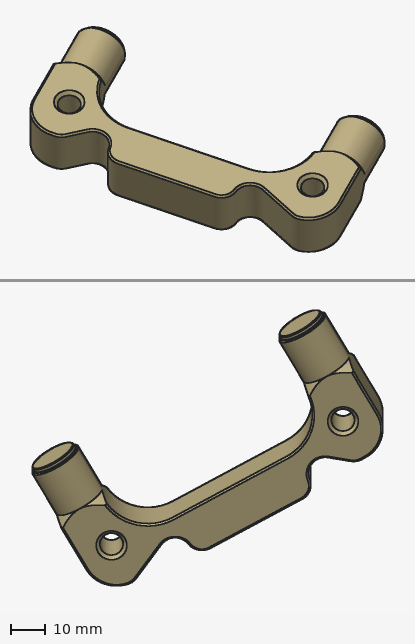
import cadquery as cq
import math

length = 97.0
depth = 45.0
thickness = 15.5
edge_chamfer = 0.6

pin_radius = thickness / 2
pin_flat_width = 3.9
pin_rim_chamfer = 0.4
shoulder_y = 29.3
shoulder_reach = 3.9

nose_radius = 13.8 / 2
nose_length = 1.2
nose_chamfer = 0.3

leg_width = 2 * math.sqrt(pin_radius**2 - (pin_flat_width / 2) ** 2)
leg_outer_x = length / 2
leg_inner_x = leg_outer_x - leg_width
pin_x = leg_outer_x - leg_width / 2

web_depth = 13.6
inner_corner_radius = 14.55

lobe_radius = 10.1
lobe_x = leg_outer_x - lobe_radius
lobe_y = 12.1
left_lobe_flat = 1.2
right_blend_angle = math.radians(-80)

small_radius = 4.85
left_web_corner_x = -16.4
right_web_corner_x = 14.2
web_corner_y = small_radius
notch_y = 3.6

hole_x = lobe_x
hole_y = 15.0
hole_diameter = 6.7
countersink_diameter = 8.8

EAST, NORTH, WEST, SOUTH = (math.radians(degrees) for degrees in (0, 90, 180, 270))
SOUTH_BACK = SOUTH - 2 * math.pi
HALF_TURN = math.pi


def point_on(center, radius, angle):
    return (center[0] + radius * math.cos(angle), center[1] + radius * math.sin(angle))


def arc(path, center, radius, start, end):
    """Continue the path along a circle; it must already stand at the start angle."""
    middle = point_on(center, radius, (start + end) / 2)
    return path.threePointArc(middle, point_on(center, radius, end))


def notch_center(web_corner_x, side):
    """Centre of the notch arc that is tangent to a web corner arc of the same radius."""
    rise = web_corner_y - notch_y
    offset = math.sqrt((2 * small_radius) ** 2 - rise**2)
    return (web_corner_x + side * offset, notch_y)


def line_normal(a, b, turn):
    """Angle of the normal of the line crossing between two small circles centred at a and b.

    A turn of 1 swings the line counterclockwise from the direction a to b, -1 clockwise.
    """
    centre_line = math.atan2(b[1] - a[1], b[0] - a[0])
    swing = math.asin(2 * small_radius / math.dist(a, b))
    return centre_line + turn * swing + NORTH


def body_outline():
    """Plan outline, followed from the left leg's outer end round the front."""
    left_lobe = (-lobe_x, lobe_y)
    right_lobe = (lobe_x, lobe_y)
    left_blend = (left_lobe_flat - lobe_x, lobe_y - lobe_radius + small_radius)
    right_blend = point_on(right_lobe, lobe_radius - small_radius, right_blend_angle)
    left_corner = (left_web_corner_x, web_corner_y)
    right_corner = (right_web_corner_x, web_corner_y)
    left_notch = notch_center(left_web_corner_x, -1)
    right_notch = notch_center(right_web_corner_x, 1)

    left_normal = line_normal(left_blend, left_notch, 1)
    right_normal = line_normal(right_notch, right_blend, -1)

    tilt = math.asin((web_corner_y - notch_y) / (2 * small_radius))

    path = cq.Workplane("XY", origin=(0, 0, -thickness / 2)).moveTo(-leg_outer_x, shoulder_y)
    path = path.lineTo(-leg_outer_x, lobe_y)
    path = arc(path, left_lobe, lobe_radius, WEST, SOUTH)
    path = path.line(left_lobe_flat, 0)
    path = arc(path, left_blend, small_radius, SOUTH, left_normal + HALF_TURN)
    path = path.lineTo(*point_on(left_notch, small_radius, left_normal))
    path = arc(path, left_notch, small_radius, left_normal, tilt)
    path = arc(path, left_corner, small_radius, WEST + tilt, SOUTH)
    path = path.lineTo(right_web_corner_x, 0)
    path = arc(path, right_corner, small_radius, SOUTH_BACK, -tilt)
    path = arc(path, right_notch, small_radius, WEST - tilt, right_normal)
    path = path.lineTo(*point_on(right_blend, small_radius, right_normal - HALF_TURN))
    path = arc(path, right_blend, small_radius, right_normal - HALF_TURN, right_blend_angle)
    path = arc(path, right_lobe, lobe_radius, right_blend_angle, EAST)
    path = path.lineTo(leg_outer_x, shoulder_y)

    corner_x = leg_inner_x - inner_corner_radius
    corner_y = web_depth + inner_corner_radius
    path = path.lineTo(leg_inner_x, shoulder_y).lineTo(leg_inner_x, corner_y)
    path = arc(path, (corner_x, corner_y), inner_corner_radius, EAST, SOUTH_BACK)
    path = path.lineTo(-corner_x, web_depth)
    path = arc(path, (-corner_x, corner_y), inner_corner_radius, SOUTH, WEST)
    return path.lineTo(-leg_inner_x, shoulder_y).close()


def body():
    """Plate with chamfered top and bottom edges, except along the leg ends."""
    plate = body_outline().extrude(thickness)
    margin = edge_chamfer / 2
    leg_ends = cq.selectors.BoxSelector(
        (-length, shoulder_y - margin, -thickness),
        (length, shoulder_y + margin, thickness),
    )
    face_edges = cq.selectors.StringSyntaxSelector(">Z or <Z")
    rims = cq.selectors.SubtractSelector(face_edges, leg_ends)
    return plate.edges(rims).chamfer(edge_chamfer)


def revolve_about_y(profile):
    """Solid turned about the Y axis from (radius, y) points."""
    return cq.Workplane("XY").polyline(profile).close().revolve(360, (0, 0, 0), (0, 1, 0))


def shoulder_cutter(x):
    """Leg-end block around a 45 degree cone; it bevels the leg corners down to the pin."""
    base_y = shoulder_y - shoulder_reach
    base_radius = pin_radius + shoulder_reach
    block = cq.Workplane("XY").box(2 * base_radius, shoulder_reach, 2 * base_radius)
    block = block.translate((0, shoulder_y - shoulder_reach / 2, 0))
    cone = revolve_about_y(
        [
            (0, shoulder_y),
            (pin_radius, shoulder_y),
            (base_radius, base_y),
            (0, base_y),
        ]
    )
    return block.cut(cone).translate((x, 0, 0))


def pin(x):
    """Pin with a chamfered rim, a stepped nose and two side flats."""
    rim_y = depth - nose_length
    profile = [
        (0, shoulder_y),
        (pin_radius, shoulder_y),
        (pin_radius, rim_y - pin_rim_chamfer),
        (pin_radius - pin_rim_chamfer, rim_y),
        (nose_radius, rim_y),
        (nose_radius, depth - nose_chamfer),
        (nose_radius - nose_chamfer, depth),
        (0, depth),
    ]
    bar = revolve_about_y(profile)
    flats = cq.Workplane("XY").box(leg_width, 2 * depth, thickness)
    return bar.intersect(flats).translate((x, 0, 0))


def screw_hole(x):
    """Cutter for a through hole with a 45 degree countersink at each face."""
    hole_radius = hole_diameter / 2
    sink_radius = countersink_diameter / 2
    top = thickness / 2
    sink_bottom = top - (sink_radius - hole_radius)
    profile = [
        (0, top),
        (sink_radius, top),
        (hole_radius, sink_bottom),
        (hole_radius, -sink_bottom),
        (sink_radius, -top),
        (0, -top),
    ]
    upright = revolve_about_y(profile).rotate((0, 0, 0), (1, 0, 0), 90)
    return upright.translate((x, hole_y, 0))


result = body()
for side in (-1, 1):
    result = result.cut(shoulder_cutter(side * pin_x))
    result = result.union(pin(side * pin_x))
    result = result.cut(screw_hole(side * hole_x))